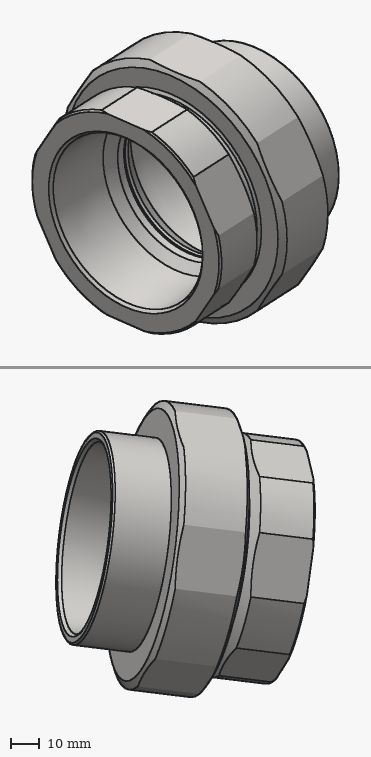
import cadquery as cq
import math

TOTAL_LENGTH = 71.8

END_ROUND_DIA = 86.0
END_FLATS = 82.9
END_HEX_BACK = 19.9
NECK_START = 22.6
NECK_DIA = 76.3
COLLAR_DIA = 80.9
COLLAR_START = 25.8
COLLAR_FULL = 27.2
END_FACE_DIA = 84.5
END_EDGE_LENGTH = 0.6
JOINT_Y = 34.5
END_BORE_DIA = 58.9

SOCKET_MOUTH_DIA = 69.8
SOCKET_DIA = 67.7
SOCKET_END_DIA = 66.1
SOCKET_CHAMFER_LENGTH = 1.2
SOCKET_DEPTH = 23.2
RUNOUT_DEPTH = 27.5
END_CONE_DEPTH = 31.2

NUT_ROUND_DIA = 101.6
NUT_FLATS = 99.1
NUT_FACE_DIA = 95.9
NUT_FRONT = 25.4
NUT_BACK = 50.8
NUT_EDGE_LENGTH = 1.5

TAIL_DIA = 75.4
TAIL_BORE_DIA = 59.1
TAIL_EDGE = 0.7
TAIL_SEAT_CHAMFER = 0.8
TAIL_CONE_LENGTH = 5.7
TAIL_BORE_END = 37.0


def turned(profile):
    """Revolve (diameter, y) points about the Y axis."""
    points = [(diameter / 2, y) for diameter, y in profile]
    return cq.Workplane("XY").polyline(points).close().revolve(360, (0, 0, 0), (0, 1, 0))


def hexagon(flats, start, end):
    """Hexagonal prism along Y with flats facing +Z and -Z."""
    corner_dia = flats / math.cos(math.pi / 6)
    plane = cq.Workplane("XZ", origin=(0, start, 0))
    return plane.polygon(6, corner_dia).extrude(start - end)


def make_end_piece():
    wrench_part = turned([
        (0, 0),
        (END_FACE_DIA, 0),
        (END_ROUND_DIA, END_EDGE_LENGTH),
        (END_ROUND_DIA, END_HEX_BACK),
        (NECK_DIA, NECK_START),
        (0, NECK_START),
    ]).intersect(hexagon(END_FLATS, 0, NECK_START))
    neck = turned([
        (0, NECK_START),
        (NECK_DIA, NECK_START),
        (NECK_DIA, COLLAR_START),
        (COLLAR_DIA, COLLAR_FULL),
        (COLLAR_DIA, JOINT_Y),
        (0, JOINT_Y),
    ])
    bore = turned([
        (0, 0),
        (SOCKET_MOUTH_DIA, 0),
        (SOCKET_DIA, SOCKET_CHAMFER_LENGTH),
        (SOCKET_END_DIA, SOCKET_DEPTH),
        (SOCKET_END_DIA, RUNOUT_DEPTH),
        (END_BORE_DIA, END_CONE_DEPTH),
        (END_BORE_DIA, JOINT_Y),
        (0, JOINT_Y),
    ])
    return wrench_part.union(neck).cut(bore)


def make_nut():
    body = turned([
        (COLLAR_DIA, NUT_FRONT),
        (NUT_FACE_DIA, NUT_FRONT),
        (NUT_ROUND_DIA, NUT_FRONT + NUT_EDGE_LENGTH),
        (NUT_ROUND_DIA, NUT_BACK - NUT_EDGE_LENGTH),
        (NUT_FACE_DIA, NUT_BACK),
        (TAIL_DIA, NUT_BACK),
        (TAIL_DIA, JOINT_Y),
        (COLLAR_DIA, JOINT_Y),
    ])
    return body.intersect(hexagon(NUT_FLATS, NUT_FRONT, NUT_BACK))


def make_tail():
    return turned([
        (TAIL_BORE_DIA + 2 * TAIL_SEAT_CHAMFER, JOINT_Y),
        (TAIL_DIA, JOINT_Y),
        (TAIL_DIA, TOTAL_LENGTH - TAIL_EDGE),
        (TAIL_DIA - 2 * TAIL_EDGE, TOTAL_LENGTH),
        (SOCKET_MOUTH_DIA, TOTAL_LENGTH),
        (SOCKET_DIA, TOTAL_LENGTH - SOCKET_CHAMFER_LENGTH),
        (SOCKET_END_DIA, TOTAL_LENGTH - SOCKET_DEPTH),
        (SOCKET_END_DIA, TAIL_BORE_END + TAIL_CONE_LENGTH),
        (TAIL_BORE_DIA, TAIL_BORE_END),
        (TAIL_BORE_DIA, JOINT_Y + TAIL_SEAT_CHAMFER),
    ])


end_piece = make_end_piece()
nut = make_nut()
tail = make_tail()

result = cq.Compound.makeCompound([end_piece.val(), nut.val(), tail.val()])